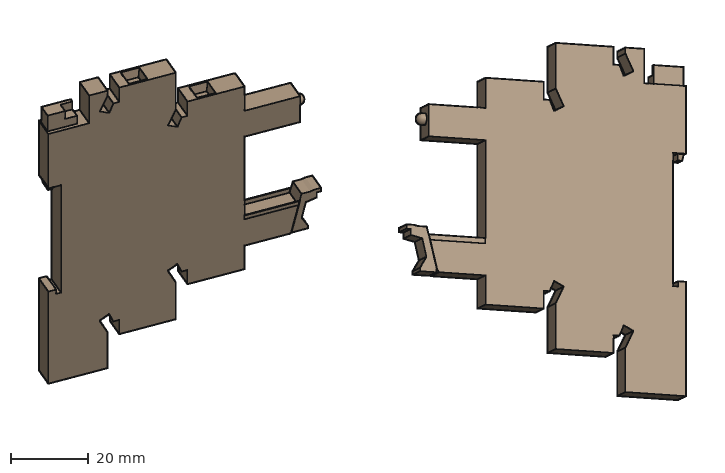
import cadquery as cq


thickness = 6.2
height = 90.31
reach = 76.69

foot_depth = 16.65
tier_pitch = 19.15
tier_drop = 10.4
foot_height = 10.05
body_depth = 55.1

rail_depth = 3.55
rail_bottom = 28.6
rail_top = 63.55
hook_depth = 2.2
hook_top = 30.0

shoulder_depth = 11.45
shoulder_top = 81.3

upper_arm_end = 70.7
upper_arm_bottom = rail_top
upper_arm_top = 72.0
lamp_radius = 1.55
lamp_collar = 0.85
lamp_z = 68.55

lower_arm_bottom = 28.1
lower_arm_top = 37.9
arm_end_bottom = 68.2
arm_end_top = 70.65
lever_width = 5.7
pad_top = 39.9
pad_front = 73.6
tip_ramp_end = 74.7
tip_top = 40.15
tip_underside = 39.0
hook_front = 75.5
hook_bottom = 37.4
lever_neck = (72.4, 36.75)
lever_waist = (71.25, 32.0)
lever_toe = 73.0
lever_toe_top = 29.0
slot_depth = 1.4
relief_width = 0.6
relief_height = 0.8

notch_width = 3.25
notch_shelf_depth = 4.65
notch_shelf_inner = 1.6
notch_bottom_near = (0.45, 7.4)
notch_bottom_far = (-2.2, 6.1)
notch_mouth_depth = 1.6

pocket_size = 5.2
pocket_floor_x = 4.1
pocket_floor_y = 3.85
pocket_depth = 2.6
pocket_offset = 8.75
pocket_floor_shift = 0.17

tag_x_min = -2.0
tag_x_max = 2.05
tag_plate = 1.1
tag_y_min = 0.25
tag_y_max = 8.5
tag_height = 5.15
tag_step_length = 3.35
tag_step_height = tag_height / 2

nub_center_y = 1.1
nub_root = (4.2, 1.75)
nub_tip = (3.5, 1.2)
nub_height = 1.64

step_walls = [foot_depth, foot_depth + tier_pitch]
upper_tiers = [height, height - tier_drop]
lower_tiers = [foot_height, foot_height + tier_drop]


def plate(points, width):
    """Extrude a (Y, Z) outline to the given width, centred on X = 0."""
    return cq.Workplane("YZ").polyline(points).close().extrude(width / 2, both=True)


def box_between(x_range, y_range, z_range):
    """Axis-aligned box given by its limits."""
    sizes = [high - low for low, high in (x_range, y_range, z_range)]
    corner = (x_range[0], y_range[0], z_range[0])
    return cq.Workplane("XY").box(*sizes, centered=False).translate(corner)


def tapered_block(x, y, z, start_size, end_size, drop, end_shift_y=0.0):
    """Loft downwards from a rectangle at height z to another one below it."""
    return (
        cq.Workplane("XY", origin=(x, y, z))
        .rect(*start_size)
        .workplane(offset=-drop)
        .center(0, end_shift_y)
        .rect(*end_size)
        .loft(combine=True)
    )


def socket_body():
    """Stepped housing with rail recess, shoulder and the two arms."""
    outline = [
        (0, 0),
        (0, hook_top),
        (hook_depth, hook_top),
        (hook_depth, rail_bottom),
        (rail_depth, rail_bottom),
        (rail_depth, rail_top),
        (0, rail_top),
        (0, shoulder_top),
        (shoulder_depth, shoulder_top),
        (shoulder_depth, upper_tiers[0]),
        (step_walls[1], upper_tiers[0]),
        (step_walls[1], upper_tiers[1]),
        (body_depth, upper_tiers[1]),
        (body_depth, upper_arm_top),
        (upper_arm_end, upper_arm_top),
        (upper_arm_end, upper_arm_bottom),
        (body_depth, upper_arm_bottom),
        (body_depth, lower_arm_top),
        (arm_end_top, lower_arm_top),
        (arm_end_bottom, lower_arm_bottom),
        (body_depth, lower_arm_bottom),
        (body_depth, lower_tiers[1]),
        (step_walls[1], lower_tiers[1]),
        (step_walls[1], lower_tiers[0]),
        (step_walls[0], lower_tiers[0]),
        (step_walls[0], 0),
    ]
    return plate(outline, thickness)


def clamping_notch(wall_y, tier_z, inward):
    """Leaning slot cut at a terminal step; inward is -1 from above, +1 from below."""
    profile = [
        (0, 0),
        (notch_width, 0),
        (notch_width, notch_shelf_depth),
        (notch_shelf_inner, notch_shelf_depth),
        notch_bottom_near,
        notch_bottom_far,
        (0, notch_mouth_depth),
    ]
    points = [(wall_y + y, tier_z + inward * depth) for y, depth in profile]
    return plate(points, thickness)


def wire_pocket(wall_y, tier_z):
    """Funnel-shaped wire entry in an upper tier face."""
    return tapered_block(
        0,
        wall_y + pocket_offset,
        tier_z,
        (pocket_size, pocket_size),
        (pocket_floor_x, pocket_floor_y),
        pocket_depth,
        pocket_floor_shift,
    )


def arm_channel():
    """Open channel along the lower arm, as wide as the lever."""
    half = lever_width / 2
    return box_between(
        (-half, half), (body_depth, reach), (lower_arm_top - slot_depth, lower_arm_top)
    )


def release_lever():
    """Hooked lever standing on the sloping end of the lower arm."""
    slope = (arm_end_top - arm_end_bottom) / (lower_arm_top - lower_arm_bottom)
    pad_back = arm_end_top + slope * (pad_top - lower_arm_top)
    outline = [
        (arm_end_bottom, lower_arm_bottom),
        (pad_back, pad_top),
        (pad_front, pad_top),
        (tip_ramp_end, tip_top),
        (reach, tip_top),
        (reach, tip_underside),
        (hook_front, tip_underside),
        (hook_front, hook_bottom),
        lever_neck,
        lever_waist,
        (lever_toe, lever_toe_top),
        (lever_toe, lower_arm_bottom),
    ]
    return plate(outline, lever_width)


def lever_relief():
    """Small V relief below the joint of lever and arm."""
    outline = [
        (arm_end_bottom - relief_width / 2, lower_arm_bottom),
        (arm_end_bottom + relief_width / 2, lower_arm_bottom),
        (arm_end_bottom + relief_width / 2, lower_arm_bottom + relief_height),
    ]
    return plate(outline, thickness)


def indicator_lamp():
    """Domed lamp on the end of the upper arm: a collar with a hemisphere."""
    dome_start = upper_arm_end + lamp_collar
    center = (0, dome_start, lamp_z)
    collar = (
        cq.Workplane("XZ", origin=center).circle(lamp_radius).extrude(lamp_collar)
    )
    dome = cq.Workplane("XY").sphere(lamp_radius).translate(center)
    return collar.union(dome)


def marker_tag():
    """Upright tag on the shoulder: a thin plate, thick towards Y = 0 and stepped down behind."""
    tag_top = shoulder_top + tag_height
    tag = box_between((tag_x_min, tag_x_max), (tag_y_min, tag_y_max), (shoulder_top, tag_top))
    cutout = box_between(
        (tag_x_min + tag_plate, tag_x_max),
        (tag_y_max - tag_step_length, tag_y_max),
        (shoulder_top + tag_step_height, tag_top),
    )
    return tag.cut(cutout)


def locating_nub():
    """Tapered nub hanging from the upper edge of the rail recess."""
    return tapered_block(0, nub_center_y, rail_top, nub_root, nub_tip, nub_height)


result = socket_body().cut(arm_channel())

for wall, upper, lower in zip(step_walls, upper_tiers, lower_tiers):
    result = result.cut(clamping_notch(wall, upper, -1))
    result = result.cut(clamping_notch(wall, lower, 1))
    result = result.cut(wire_pocket(wall, upper))

result = result.union(release_lever()).cut(lever_relief())
result = result.union(indicator_lamp())
result = result.union(marker_tag())
result = result.union(locating_nub())